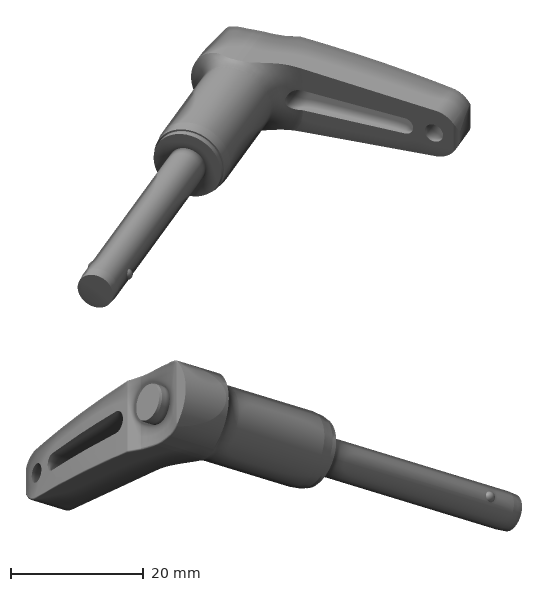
import cadquery as cq
import math


total_length = 68.6
pin_radius = 3.0
tip_radius = 2.9
tip_taper_length = 1.65
button_top_radius = 2.9
button_taper_length = 0.4
sleeve_radius = 6.0
sleeve_end_radius = 5.75
sleeve_taper_y = -28.9
sleeve_end_y = -30.6
collar_radius = 5.5
collar_end_y = -31.5
flare_radius = 4.1
flare_start_y = -12.7
flare_top_y = flare_start_y + flare_radius
flare_top_radius = sleeve_radius + flare_radius

ball_radius = 0.9
ball_reach = 3.6
ball_y = -62.5

head_nose_x = -8.5
head_nose_radius = 6.2
head_center_x = head_nose_x + head_nose_radius
head_flat_start_x = -0.6
head_flat_end_x = 0.55
head_width = 12.7
head_half_width = head_width / 2
nose_blend_angle = math.radians(97)
tail_x = 35.3
tail_radius = 4.1
tail_center_x = tail_x - tail_radius
tail_blend_angle = math.radians(86)

nose_top_x = -7.6
nose_top_y = -1.4
nose_bottom_y = -8.85
nose_face_radius = 7.35
dish_start_x = -5.4
dish_axis_y = -2.05
dish_end = (3.8, -1.6)
crest = (6.05, -0.7)
back_middle = (20.6, -1.3)
tail_top = (34.6, -3.1)
tail_bottom_y = -9.6
grip_start_x = 9.3
tail_corner_radius = 0.8
top_edge_radius = 0.3
side_clearance = 0.7

slot_inner_x = 8.9
slot_inner_radius = 1.8
slot_outer_x = 26.4
slot_outer_radius = 1.4
cord_hole_radius = 1.5


def along_y():
    """Workplane whose local axes are X and Z and whose extrusion runs toward -Y."""
    return cq.Workplane("XZ")


def make_outline():
    """Teardrop handle outline, extruded deep enough to cover the flare."""
    nose_end = (
        head_center_x + head_nose_radius * math.cos(nose_blend_angle),
        head_nose_radius * math.sin(nose_blend_angle),
    )
    tail_start = (
        tail_center_x + tail_radius * math.cos(tail_blend_angle),
        tail_radius * math.sin(tail_blend_angle),
    )
    return (
        along_y()
        .moveTo(nose_end[0], -nose_end[1])
        .threePointArc((head_nose_x, 0), nose_end)
        .lineTo(head_flat_start_x, head_half_width)
        .lineTo(head_flat_end_x, head_half_width)
        .lineTo(*tail_start)
        .threePointArc((tail_x, 0), (tail_start[0], -tail_start[1]))
        .lineTo(head_flat_end_x, -head_half_width)
        .lineTo(head_flat_start_x, -head_half_width)
        .close()
        .extrude(-flare_start_y)
    )


def make_side_profile():
    """Side shape of the handle: dished head, arched back and slanted tail."""
    profile = (
        cq.Workplane("XY")
        .moveTo(head_nose_x, nose_top_y)
        .lineTo(dish_start_x, nose_top_y)
        .threePointArc((0, dish_axis_y), dish_end)
        .lineTo(*crest)
        .threePointArc(back_middle, tail_top)
        .lineTo(tail_x, tail_bottom_y)
        .lineTo(grip_start_x, flare_top_y)
        .lineTo(head_nose_x, flare_top_y)
        .close()
        .extrude(head_half_width + side_clearance, both=True)
    )
    tail_corner = cq.selectors.NearestToPointSelector((tail_x, tail_bottom_y, 0))
    return profile.edges("|Z").edges(tail_corner).fillet(tail_corner_radius)


def make_flare():
    """Trumpet under the head, blending into the sleeve."""
    arc_reach = flare_radius * math.sqrt(0.5)
    return (
        cq.Workplane("XY")
        .moveTo(0, flare_start_y)
        .lineTo(sleeve_radius, flare_start_y)
        .threePointArc(
            (flare_top_radius - arc_reach, flare_start_y + arc_reach),
            (flare_top_radius, flare_top_y),
        )
        .lineTo(0, flare_top_y)
        .close()
        .revolve(360, (0, 0, 0), (0, 1, 0))
    )


def make_nose_cutter():
    """Material in front of the leaning round face on the nose."""
    lean = (nose_top_x - head_nose_x) / (nose_top_y - nose_bottom_y)
    length = -flare_start_y
    start = cq.Vector(nose_top_x + nose_face_radius - lean * nose_top_y, 0, 0)
    direction = cq.Vector(-lean, -1, 0)
    kept = cq.Solid.makeCylinder(nose_face_radius, length, start, direction)
    width = 2 * (head_half_width + side_clearance)
    block = (
        cq.Workplane("XY")
        .box(nose_face_radius, length, width, centered=(False, False, True))
        .translate((head_center_x - nose_face_radius, nose_bottom_y, 0))
    )
    return block.cut(cq.Workplane(kept))


def make_openings():
    """Tapered slot and cord hole, both passing through the handle."""
    slot_length = slot_outer_x - slot_inner_x
    tangent = math.acos((slot_inner_radius - slot_outer_radius) / slot_length)
    inner = (
        slot_inner_x + slot_inner_radius * math.cos(tangent),
        slot_inner_radius * math.sin(tangent),
    )
    outer = (
        slot_outer_x + slot_outer_radius * math.cos(tangent),
        slot_outer_radius * math.sin(tangent),
    )
    slot = (
        along_y()
        .moveTo(*inner)
        .lineTo(*outer)
        .threePointArc((slot_outer_x + slot_outer_radius, 0), (outer[0], -outer[1]))
        .lineTo(inner[0], -inner[1])
        .threePointArc((slot_inner_x - slot_inner_radius, 0), inner)
        .close()
        .extrude(-flare_start_y)
    )
    hole = along_y().center(tail_center_x, 0).circle(cord_hole_radius).extrude(-flare_start_y)
    return slot.union(hole)


def make_handle():
    outline = make_outline()
    grip = make_side_profile().intersect(outline)
    dish_and_back = cq.selectors.BoxSelector(
        (head_nose_x, tail_top[1], -head_half_width),
        (tail_center_x, 0, head_half_width),
    )
    grip = grip.faces(dish_and_back).edges("not |Z").fillet(top_edge_radius)
    grip = grip.cut(make_nose_cutter())
    flare = make_flare().intersect(outline)
    return grip.union(flare).cut(make_openings())


def make_shaft():
    """Button, sleeve, collar and pin turned about the Y axis."""
    return (
        cq.Workplane("XY")
        .moveTo(0, 0)
        .lineTo(button_top_radius, 0)
        .lineTo(pin_radius, -button_taper_length)
        .lineTo(pin_radius, flare_top_y)
        .lineTo(sleeve_radius, flare_start_y)
        .lineTo(sleeve_radius, sleeve_taper_y)
        .lineTo(sleeve_end_radius, sleeve_end_y)
        .lineTo(collar_radius, sleeve_end_y)
        .lineTo(collar_radius, collar_end_y)
        .lineTo(pin_radius, collar_end_y)
        .lineTo(pin_radius, tip_taper_length - total_length)
        .lineTo(tip_radius, -total_length)
        .lineTo(0, -total_length)
        .close()
        .revolve(360, (0, 0, 0), (0, 1, 0))
    )


def make_balls():
    ball_x = ball_reach - ball_radius
    return (
        cq.Workplane("XY")
        .pushPoints([(-ball_x, ball_y), (ball_x, ball_y)])
        .sphere(ball_radius)
    )


result = make_handle().union(make_shaft()).union(make_balls())